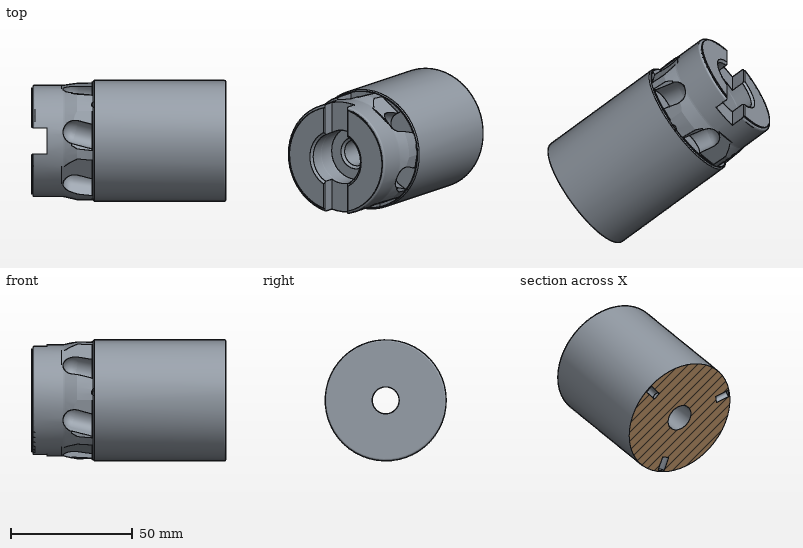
import math

import cadquery as cq

LENGTH = 80.09
SLEEVE_RADIUS = 49.98 / 2
SLEEVE_START = 25.4
SLEEVE_LEAD_IN = 0.5
SLEEVE_END_ROUND = 0.8

HEAD_RADIUS = 46.0 / 2
RIM_RADIUS = 43.8 / 2
RIM_LENGTH = 0.5
HEAD_ROUND = 0.85
HEAD_END = 13.06
CONE_START = 13.6
CONE_END = 18.9
NECK_RADIUS = 48.65 / 2
CONE_START_RISE = 0.05

FRONT_BORE_RADIUS = 22.3 / 2
MIDDLE_BORE_RADIUS = 22.15 / 2
INNER_BORE_RADIUS = 22.0 / 2
FRONT_BORE_DEPTH = 7.6
MIDDLE_BORE_DEPTH = 15.1
BORE_DEPTH = 16.2
BORE_STEP_LENGTH = 0.4
BORE_CHAMFER = 1.0
THROUGH_HOLE_RADIUS = 11.0 / 2
THROUGH_HOLE_CHAMFER = 1.1

SLOT_WIDTH = 10.6
SLOT_DEPTH = 6.3
SLOT_CHAMFER = 0.5

REPEATS = 3
REPEAT_ANGLE = 360 / REPEATS
NECK_END = 25.0
WIDE_FLAT_ANGLE = 51.4
WIDE_FLAT_DISTANCE = 22.54
WIDE_FLAT_SLOPE = 1.8
WIDE_FLAT_START = 12.4
NARROW_FLAT_ANGLE = -9.5
NARROW_FLAT_DISTANCE = 24.0
FLAT_TOOL_SIZE = 30.0

FLUTE_COUNT = 6
FLUTE_ANGLE = 40.0
FLUTE_RADIUS = 4.9
FLUTE_CENTER_X = 18.0
FLUTE_CENTER_DISTANCE = 20.7
FLUTE_TILT = 15.0
FLUTE_LEAN = 10.0
FLUTE_TOOL_LENGTH = 20.0
BEVEL_HEIGHT = 3.0
BEVEL_ANGLE = 68.0
BEVEL_TOOL_LENGTH = 5.0

PIN_HOLE_RADIUS = 3.0 / 2
PIN_HOLE_X = 26.25
PIN_HOLE_ANGLE = 8.0
PIN_HOLE_DEPTH = 6.0


def turned_body():
    """Solid of revolution: rim, head, conical neck and sleeve."""
    shoulder_radius = HEAD_RADIUS - HEAD_ROUND
    round_end = RIM_LENGTH + HEAD_ROUND
    round_mid_drop = HEAD_ROUND * (1 - math.sqrt(0.5))
    end_mid_drop = SLEEVE_END_ROUND * (1 - math.sqrt(0.5))
    profile = (
        cq.Workplane("XY")
        .lineTo(0, RIM_RADIUS)
        .lineTo(RIM_LENGTH, RIM_RADIUS)
        .lineTo(RIM_LENGTH, shoulder_radius)
        .threePointArc(
            (RIM_LENGTH + round_mid_drop, HEAD_RADIUS - round_mid_drop),
            (round_end, HEAD_RADIUS),
        )
        .lineTo(HEAD_END, HEAD_RADIUS)
        .lineTo(CONE_START, HEAD_RADIUS + CONE_START_RISE)
        .lineTo(CONE_END, NECK_RADIUS)
        .lineTo(SLEEVE_START, NECK_RADIUS)
        .lineTo(SLEEVE_START, SLEEVE_RADIUS - SLEEVE_LEAD_IN)
        .lineTo(SLEEVE_START + SLEEVE_LEAD_IN, SLEEVE_RADIUS)
        .lineTo(LENGTH - SLEEVE_END_ROUND, SLEEVE_RADIUS)
        .threePointArc(
            (LENGTH - end_mid_drop, SLEEVE_RADIUS - end_mid_drop),
            (LENGTH, SLEEVE_RADIUS - SLEEVE_END_ROUND),
        )
        .lineTo(LENGTH, 0)
        .close()
    )
    return profile.revolve(360, (0, 0, 0), (1, 0, 0))


def bore_cutter():
    """Stepped front bore and the hole through the whole part."""
    mouth_radius = FRONT_BORE_RADIUS + BORE_CHAMFER
    hole_mouth_radius = THROUGH_HOLE_RADIUS + THROUGH_HOLE_CHAMFER
    profile = (
        cq.Workplane("XY")
        .lineTo(0, mouth_radius)
        .lineTo(BORE_CHAMFER, FRONT_BORE_RADIUS)
        .lineTo(FRONT_BORE_DEPTH, FRONT_BORE_RADIUS)
        .lineTo(FRONT_BORE_DEPTH + BORE_STEP_LENGTH, MIDDLE_BORE_RADIUS)
        .lineTo(MIDDLE_BORE_DEPTH, MIDDLE_BORE_RADIUS)
        .lineTo(MIDDLE_BORE_DEPTH + BORE_STEP_LENGTH, INNER_BORE_RADIUS)
        .lineTo(BORE_DEPTH, INNER_BORE_RADIUS)
        .lineTo(BORE_DEPTH, hole_mouth_radius)
        .lineTo(BORE_DEPTH + THROUGH_HOLE_CHAMFER, THROUGH_HOLE_RADIUS)
        .lineTo(LENGTH, THROUGH_HOLE_RADIUS)
        .lineTo(LENGTH, 0)
        .close()
    )
    return profile.revolve(360, (0, 0, 0), (1, 0, 0))


def driver_slot_cutter():
    """Slot across the front face with chamfered mouth edges."""
    half = SLOT_WIDTH / 2
    profile = (
        cq.Workplane("XY")
        .moveTo(0, -half - SLOT_CHAMFER)
        .lineTo(SLOT_CHAMFER, -half)
        .lineTo(SLOT_DEPTH, -half)
        .lineTo(SLOT_DEPTH, half)
        .lineTo(SLOT_CHAMFER, half)
        .lineTo(0, half + SLOT_CHAMFER)
        .close()
    )
    return profile.extrude(SLEEVE_RADIUS, both=True)


def around_axis(tool, angle):
    """Turn a tool made on the -Y side to its angle about the X axis."""
    return tool.rotate((0, 0, 0), (1, 0, 0), -angle)


def flat_cutter(start, distance, slope=0.0):
    """Block that leaves a flat on the -Y side of the neck, rising by slope degrees towards +X."""
    profile = cq.Workplane("XY").rect(NECK_END - start, -FLAT_TOOL_SIZE, centered=False)
    block = profile.extrude(FLAT_TOOL_SIZE / 2, both=True)
    block = block.rotate((0, 0, 0), (0, 0, 1), -slope)
    return block.translate((start, -distance, 0))


def bevel_cutter():
    """Wedge that bevels the outer edge of the lower flute wall."""
    bevel_angle = math.radians(BEVEL_ANGLE)
    outer_y = -BEVEL_HEIGHT - BEVEL_TOOL_LENGTH * math.cos(bevel_angle)
    outer_z = -FLUTE_RADIUS - BEVEL_TOOL_LENGTH * math.sin(bevel_angle)
    profile = (
        cq.Workplane("YZ")
        .moveTo(-BEVEL_HEIGHT, -FLUTE_RADIUS)
        .lineTo(outer_y, outer_z)
        .lineTo(outer_y, 0)
        .lineTo(-BEVEL_HEIGHT, 0)
        .close()
    )
    return profile.extrude(FLUTE_TOOL_LENGTH)


def flute_cutter(bevelled):
    """Ball-ended cutter, opened outwards along a leaning direction, on the -Y side."""
    ball = cq.Workplane("XY").sphere(FLUTE_RADIUS)
    groove = cq.Workplane("YZ").circle(FLUTE_RADIUS).extrude(FLUTE_TOOL_LENGTH)
    end_wall = cq.Workplane("XZ").circle(FLUTE_RADIUS).extrude(FLUTE_TOOL_LENGTH)
    side_walls = (
        cq.Workplane("XZ")
        .rect(FLUTE_TOOL_LENGTH, 2 * FLUTE_RADIUS)
        .extrude(FLUTE_TOOL_LENGTH)
        .translate((FLUTE_TOOL_LENGTH / 2, 0, 0))
    )
    tool = ball.union(groove).union(end_wall).union(side_walls)
    if bevelled:
        tool = tool.union(bevel_cutter())
    tool = tool.rotate((0, 0, 0), (1, 0, 0), FLUTE_LEAN)
    tool = tool.rotate((0, 0, 0), (0, 1, 0), FLUTE_TILT)
    tool = tool.translate((FLUTE_CENTER_X, -FLUTE_CENTER_DISTANCE, 0))
    neck_zone = cq.Workplane("YZ").circle(2 * SLEEVE_RADIUS).extrude(NECK_END)
    return tool.intersect(neck_zone)


def pin_hole_cutter():
    """Radial blind hole in the neck on the -Y side."""
    hole = cq.Workplane("XZ").circle(PIN_HOLE_RADIUS).extrude(PIN_HOLE_DEPTH)
    return hole.translate((PIN_HOLE_X, PIN_HOLE_DEPTH - NECK_RADIUS, 0))


result = turned_body().cut(bore_cutter()).cut(driver_slot_cutter())

for index in range(REPEATS):
    turn = index * REPEAT_ANGLE
    wide_flat = flat_cutter(WIDE_FLAT_START, WIDE_FLAT_DISTANCE, WIDE_FLAT_SLOPE)
    narrow_flat = flat_cutter(CONE_START, NARROW_FLAT_DISTANCE)
    result = result.cut(around_axis(wide_flat, WIDE_FLAT_ANGLE + turn))
    result = result.cut(around_axis(narrow_flat, NARROW_FLAT_ANGLE + turn))
    result = result.cut(around_axis(pin_hole_cutter(), PIN_HOLE_ANGLE + turn))

for index in range(FLUTE_COUNT):
    flute = flute_cutter(bevelled=index > 0)
    result = result.cut(around_axis(flute, FLUTE_ANGLE + index * 360 / FLUTE_COUNT))